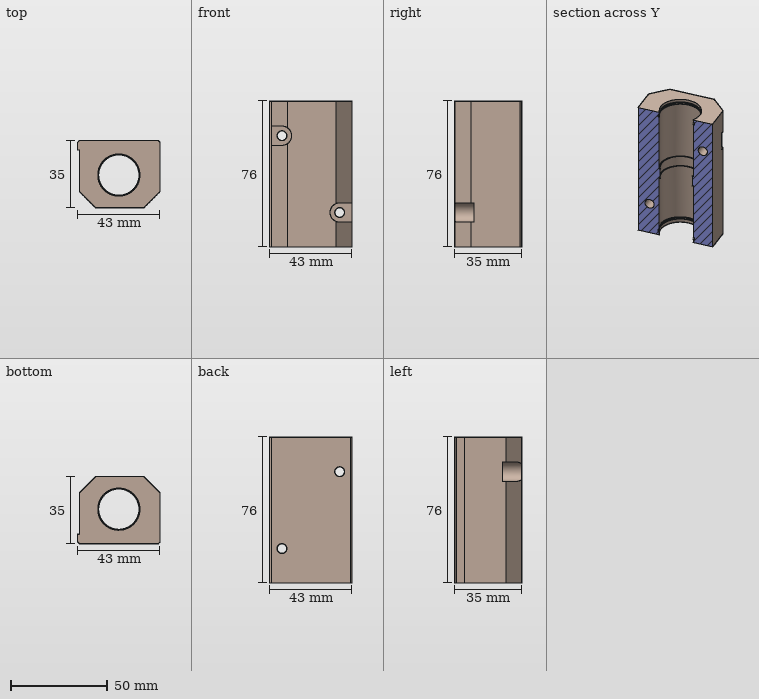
import cadquery as cq

width = 43.0
depth = 35.0
height = 76.0
lip_width = 1.0
lip_depth = 5.0
back_chamfer = 1.0
front_chamfer = 8.4

bore_to_back = 18.0
bore_diameter = 21.0
seat_diameter = 22.0
seat_depth = 35.0
groove_diameter = 23.0
groove_width = 1.1
groove_offset = 2.0

screw_diameter = 4.95
screw_spacing = 30.0
screw_to_end = 18.0
pocket_width = 10.0
pocket_depth = 10.0

left = -width / 2
right = width / 2
back = bore_to_back
front = back - depth
body_left = left + lip_width


def make_block():
    outline = [
        (left, back - lip_depth),
        (body_left, back - lip_depth),
        (body_left, front + front_chamfer),
        (body_left + front_chamfer, front),
        (right - front_chamfer, front),
        (right, front + front_chamfer),
        (right, back - back_chamfer),
        (right - back_chamfer, back),
        (left + back_chamfer, back),
        (left, back - back_chamfer),
    ]
    return cq.Workplane("XY").polyline(outline).close().extrude(height)


def disc(diameter, bottom, length):
    return cq.Workplane("XY").workplane(offset=bottom).circle(diameter / 2).extrude(length)


def make_bore():
    bore = disc(bore_diameter, 0, height)
    for seat_bottom in (0, height - seat_depth):
        bore = bore.union(disc(seat_diameter, seat_bottom, seat_depth))
    for groove_bottom in (groove_offset, height - groove_offset - groove_width):
        bore = bore.union(disc(groove_diameter, groove_bottom, groove_width))
    return bore


def make_screw_cut(side, z):
    """Through hole and round-ended pocket; side is -1 for left, 1 for right."""
    x = side * screw_spacing / 2
    face = cq.Workplane("XZ", origin=(x, front, z))
    hole = face.circle(screw_diameter / 2).extrude(-depth)
    round_end = face.circle(pocket_width / 2).extrude(-pocket_depth)
    open_end = face.center(side * width / 4, 0).rect(width / 2, pocket_width).extrude(-pocket_depth)
    return hole.union(round_end).union(open_end)


result = (
    make_block()
    .cut(make_bore())
    .cut(make_screw_cut(-1, height - screw_to_end))
    .cut(make_screw_cut(1, screw_to_end))
)